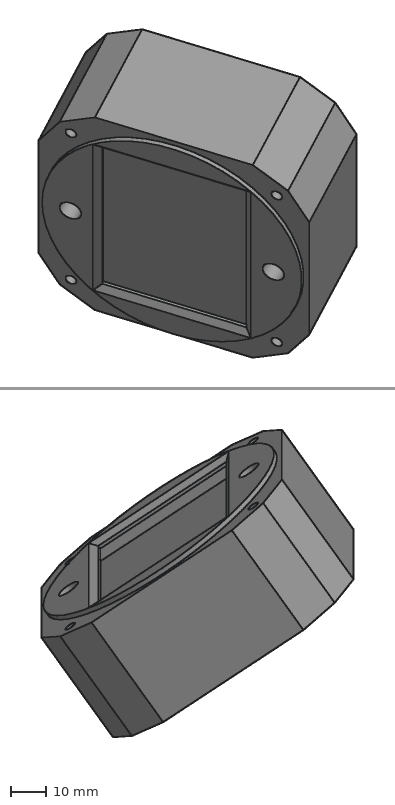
import cadquery as cq

width = 83.0
body_depth = 36.0
half_width = width / 2
half_flat = 24.2
corner_reach = 35.0

boss_diameter = 79.6
boss_height = 1.5
front_y = -boss_height

window_width = 44.2
window_height = 59.0
mouth_width = 48.4
mouth_height = 62.8
mouth_depth = 1.75
throat_depth = 1.0

recess_width = 50.0
recess_height = 70.0
recess_depth = 4.5

screw_hole_diameter = 3.33
screw_hole_offset = 31.55
side_hole_diameter = 6.6
side_hole_offset = 31.1


def front_plane(y):
    """XZ workplane at the given Y whose normal points to +Y (local x is -X)."""
    return cq.Workplane(cq.Plane(origin=(0, y, 0), xDir=(-1, 0, 0), normal=(0, 1, 0)))


def make_body():
    outline = []
    for sx, sz in ((1, 1), (-1, 1), (-1, -1), (1, -1)):
        corner = [
            (sx * half_width, sz * half_flat),
            (sx * corner_reach, sz * corner_reach),
            (sx * half_flat, sz * half_width),
        ]
        outline += corner if sx * sz > 0 else corner[::-1]
    body = front_plane(0).polyline(outline).close().extrude(body_depth)
    boss = front_plane(front_y).circle(boss_diameter / 2).extrude(boss_height)
    return body.union(boss)


def make_window():
    throat_y = front_y + mouth_depth
    recess_y = throat_y + throat_depth
    mouth = (
        front_plane(front_y)
        .rect(mouth_width, mouth_height)
        .workplane(offset=mouth_depth)
        .rect(window_width, window_height)
        .loft(ruled=True)
    )
    throat = front_plane(throat_y).rect(window_width, window_height).extrude(throat_depth)
    recess = front_plane(recess_y).rect(recess_width, recess_height).extrude(recess_depth)
    return mouth.union(throat).union(recess)


def make_holes():
    through = body_depth + boss_height
    screw_holes = (
        front_plane(front_y)
        .rect(2 * screw_hole_offset, 2 * screw_hole_offset, forConstruction=True)
        .vertices()
        .circle(screw_hole_diameter / 2)
        .extrude(through)
    )
    side_holes = (
        front_plane(front_y)
        .pushPoints([(-side_hole_offset, 0), (side_hole_offset, 0)])
        .circle(side_hole_diameter / 2)
        .extrude(through)
    )
    return screw_holes.union(side_holes)


result = make_body().cut(make_window()).cut(make_holes())